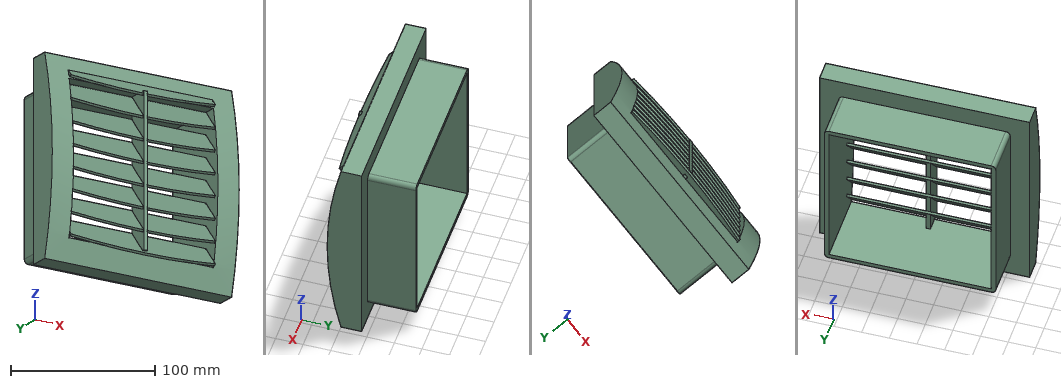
import cadquery as cq
import math

frame_size = 152.0
frame_edge_depth = 15.0
bulge_depth = 10.0
frame_depth = frame_edge_depth + bulge_depth

collar_depth = 35.0
wall = 3.3
opening_size = 117.4
collar_size = opening_size + 2 * wall
corner_radius = wall

slat_count = 8
slat_pitch = opening_size / (slat_count - 1)
slat_angle = 50.0
slat_length = 25.1
slat_thickness = 1.8
slat_arc_rise = 5.3
lowest_tip_z = -60.8

bar_width = 3.0
bar_depth = slat_length * math.cos(math.radians(slat_angle))


def box_between(size_x, size_z, y_front, y_back):
    """Box centred on X and Z, spanning the two given Y positions."""
    box = cq.Workplane("XY").box(size_x, y_back - y_front, size_z)
    return box.translate((0, (y_front + y_back) / 2, 0))


def make_frame():
    """Frame profile in the YZ plane, extruded across the full width."""
    half = frame_size / 2
    return (
        cq.Workplane("YZ")
        .moveTo(0, -half)
        .lineTo(-frame_edge_depth, -half)
        .threePointArc((-frame_depth, 0), (-frame_edge_depth, half))
        .lineTo(0, half)
        .close()
        .extrude(half, both=True)
    )


def make_collar():
    """Rear collar with its four long corners rounded."""
    collar = box_between(collar_size, collar_size, 0, collar_depth)
    return collar.edges("|Y").fillet(corner_radius)


def make_slat(tip_z):
    """Slat with the middle of its upper leading edge at the frame crown, rising to the rear."""
    half = opening_size / 2
    angle = math.radians(slat_angle)
    upper_face = cq.Plane(
        origin=(0, -frame_depth, tip_z),
        xDir=(1, 0, 0),
        normal=(0, -math.sin(angle), math.cos(angle)),
    )
    return (
        cq.Workplane(upper_face)
        .moveTo(-half, slat_arc_rise)
        .threePointArc((0, 0), (half, slat_arc_rise))
        .lineTo(half, slat_length)
        .lineTo(-half, slat_length)
        .close()
        .extrude(-slat_thickness)
    )


opening = box_between(opening_size, opening_size, -frame_depth, collar_depth)
bar = box_between(bar_width, opening_size, -frame_depth, bar_depth - frame_depth)

result = make_frame().union(make_collar()).cut(opening).union(bar)
for index in range(slat_count):
    result = result.union(make_slat(lowest_tip_z + index * slat_pitch))